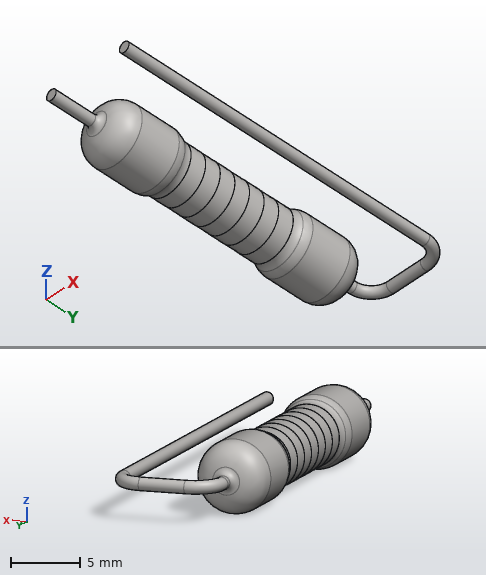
import cadquery as cq
import math


wire_diameter = 1.0
lead_pitch = 7.5
overall_length = 33.1
bend_radius = 2.0

cap_diameter = 5.5
body_length = 25.0
body_start = 4.6
waist_diameter = 0.85 * cap_diameter
dome_radius = 0.35 * cap_diameter
shoulder_radius = 0.30 * cap_diameter
cap_length = 6.5
root_fillet_radius = 0.6

band_diameter = 4.7
band_count = 4
segment_count = 2 * band_count - 1

wire_radius = wire_diameter / 2
cap_radius = cap_diameter / 2
waist_radius = waist_diameter / 2
body_middle = body_start + body_length / 2
bend_line = overall_length - wire_radius
bend_start = bend_line - bend_radius

shoulder_middle = body_start + cap_length
shoulder_middle_radius = (cap_radius + waist_radius) / 2
arc_drop = (cap_radius - waist_radius) / 2
arc_length = math.sqrt(shoulder_radius**2 - (shoulder_radius - arc_drop) ** 2)
shoulder_start = shoulder_middle - arc_length
waist_start = shoulder_middle + arc_length
waist_length = 2 * (body_middle - waist_start)
segment_length = waist_length / segment_count

dome_center_r = cap_radius - dome_radius
dome_center_y = body_start + dome_radius
fillet_center_r = wire_radius + root_fillet_radius
center_distance = dome_radius + root_fillet_radius
center_offset_r = fillet_center_r - dome_center_r
root_start = dome_center_y - math.sqrt(center_distance**2 - center_offset_r**2)
root_end_r = dome_center_r + center_offset_r * dome_radius / center_distance
root_end_y = dome_center_y - (dome_center_y - root_start) * dome_radius / center_distance


def point_on_arc(center, radius, angle):
    return (center[0] + radius * math.cos(angle), center[1] + radius * math.sin(angle))


def arc_middle(center, radius, start, end):
    """Point halfway along the short arc from start to end."""
    direction = math.atan2(
        start[1] + end[1] - 2 * center[1],
        start[0] + end[0] - 2 * center[0],
    )
    return point_on_arc(center, radius, direction)


def lower_half_body():
    """Cap, shoulder and half of the waist, turned about the Y axis."""
    root_start_point = (wire_radius, root_start)
    root_end_point = (root_end_r, root_end_y)
    dome_end_point = (cap_radius, dome_center_y)
    shoulder_start_point = (cap_radius, shoulder_start)
    shoulder_middle_point = (shoulder_middle_radius, shoulder_middle)
    waist_start_point = (waist_radius, waist_start)

    root_center = (fillet_center_r, root_start)
    dome_center = (dome_center_r, dome_center_y)
    outer_center = (cap_radius - shoulder_radius, shoulder_start)
    inner_center = (waist_radius + shoulder_radius, waist_start)

    root_middle = arc_middle(root_center, root_fillet_radius, root_start_point, root_end_point)
    dome_middle = arc_middle(dome_center, dome_radius, root_end_point, dome_end_point)
    outer_middle = arc_middle(outer_center, shoulder_radius, shoulder_start_point, shoulder_middle_point)
    inner_middle = arc_middle(inner_center, shoulder_radius, shoulder_middle_point, waist_start_point)

    profile = (
        cq.Workplane("XY")
        .moveTo(0, root_start)
        .lineTo(*root_start_point)
        .threePointArc(root_middle, root_end_point)
        .threePointArc(dome_middle, dome_end_point)
        .lineTo(*shoulder_start_point)
        .threePointArc(outer_middle, shoulder_middle_point)
        .threePointArc(inner_middle, waist_start_point)
        .lineTo(waist_radius, body_middle)
        .lineTo(0, body_middle)
        .close()
    )
    return profile.revolve(360, (0, 0), (0, 1))


def cylinder_along_y(diameter, start, length):
    base = cq.Workplane(cq.Plane(origin=(0, start, 0), xDir=(1, 0, 0), normal=(0, 1, 0)))
    return base.circle(diameter / 2).extrude(length)


def body():
    lower = lower_half_body()
    upper = lower.mirror("XZ", (0, body_middle, 0))
    shape = lower.union(upper)
    for band in range(band_count):
        band_start = waist_start + 2 * band * segment_length
        shape = shape.union(cylinder_along_y(band_diameter, band_start, segment_length))
    return shape


def straight_lead():
    return cylinder_along_y(wire_diameter, 0, root_start)


def return_lead():
    """Wire that leaves the upper cap, bends over and runs back down beside the body."""
    lead_start = 2 * body_middle - root_start
    bend_side = bend_radius * (1 - math.sqrt(0.5))
    path = (
        cq.Workplane("XY")
        .moveTo(0, lead_start)
        .lineTo(0, bend_start)
        .threePointArc((bend_side, bend_line - bend_side), (bend_radius, bend_line))
        .lineTo(lead_pitch - bend_radius, bend_line)
        .threePointArc((lead_pitch - bend_side, bend_line - bend_side), (lead_pitch, bend_start))
        .lineTo(lead_pitch, 0)
    )
    section = cq.Workplane(cq.Plane(origin=(0, lead_start, 0), xDir=(1, 0, 0), normal=(0, 1, 0)))
    return section.circle(wire_radius).sweep(path)


result = body().union(straight_lead()).union(return_lead())